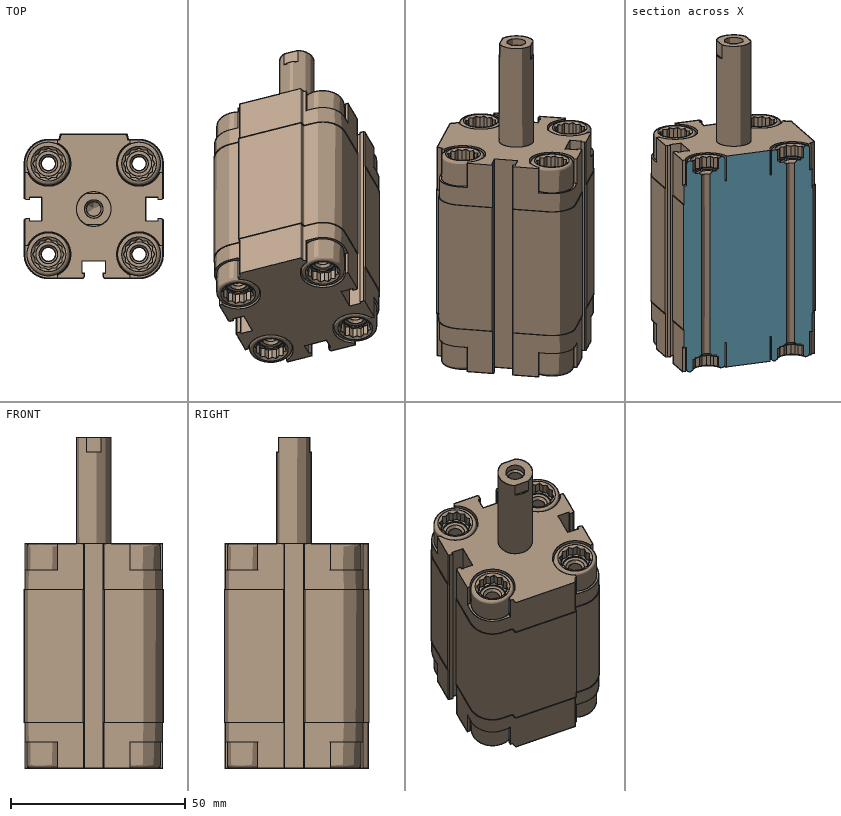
import cadquery as cq
import math

total_height = 95.0
housing_height = 64.5
cap_height = 13.1

barrel_width = 40.0
barrel_depth = 41.5
cap_inset = 0.2
corner_spacing = 26.0
rail_base_width = 19.95
rail_top_width = 19.2
rail_rounding = 0.3

slot_mouth = 5.4
slot_width = 6.7
slot_depth = 5.0
slot_lip = 1.6
mouth_chamfer = 0.4

corner_cut_height = 7.5
corner_cut_start = 10.45
boss_seat_diameter = 12.9
boss_diameter = 12.35
boss_fillet = 0.95

socket_mouth_diameter = 10.0
socket_mouth_depth = 0.6
socket_inner_diameter = 8.1
socket_depth = 3.6
recess_diameter = 7.2
recess_depth = 4.1
screw_cone_diameter = 5.3
screw_cone_depth = 0.8
screw_hole_diameter = 4.0

rod_diameter = 10.0
flat_height = 4.2
flat_distance = 9.0
rod_recess_diameter = 5.3
rod_recess_depth = 2.0
rod_bore_diameter = 4.2
rod_bore_depth = 12.0
drill_point_angle = 118.0

barrel_half_width = barrel_width / 2
rail_reach = barrel_depth - barrel_half_width
corner_axis = corner_spacing / 2
barrel_height = housing_height - 2 * cap_height
rod_length = total_height - housing_height


def at_all_corners(upper_shape):
    """Copies of a shape made for the upper +X +Y corner, one for each of the eight corners."""
    lower_shape = upper_shape.mirror("XY", (0, 0, housing_height / 2))
    for level in (upper_shape, lower_shape):
        for shape in (level, level.mirror("XZ")):
            yield shape
            yield shape.mirror("YZ")


def column(inset, bottom, height):
    """Rounded square column with a raised rail on +Y, set in by `inset` on every side."""
    half = barrel_half_width - inset
    square = (
        cq.Workplane("XY", origin=(0, 0, bottom))
        .rect(2 * half, 2 * half)
        .extrude(height)
        .edges("|Z")
        .fillet(half - corner_axis)
    )
    reach = rail_reach - inset
    base = rail_base_width / 2 - inset
    top = rail_top_width / 2 - inset
    rail = (
        cq.Workplane("XY", origin=(0, 0, bottom))
        .polyline([(-base, 0), (-base, half), (-top, reach), (top, reach), (base, half), (base, 0)])
        .close()
        .extrude(height)
        .edges("|Z and >Y")
        .fillet(rail_rounding)
    )
    rail_feet = cq.selectors.BoxSelector(
        (-base - rail_rounding, half - rail_rounding, bottom),
        (base + rail_rounding, half + rail_rounding, bottom + height),
    )
    return square.union(rail).edges("|Z").edges(rail_feet).fillet(rail_rounding)


def slot_cutter():
    """T-slot along the full housing height, opening on the -Y face."""
    face = -barrel_half_width
    lip_end = face + slot_lip
    floor = face + slot_depth
    mouth = slot_mouth / 2
    chamfer_end = face + cap_inset + mouth_chamfer
    return (
        cq.Workplane("XY")
        .moveTo(-mouth - mouth_chamfer, face)
        .lineTo(-mouth, chamfer_end)
        .lineTo(-mouth, lip_end)
        .lineTo(-slot_width / 2, lip_end)
        .lineTo(-slot_width / 2, floor)
        .lineTo(slot_width / 2, floor)
        .lineTo(slot_width / 2, lip_end)
        .lineTo(mouth, lip_end)
        .lineTo(mouth, chamfer_end)
        .lineTo(mouth + mouth_chamfer, face)
        .close()
        .extrude(housing_height)
    )


def corner_cutter():
    """Square block and round boss seat to remove at the upper +X +Y corner."""
    size = rail_reach - corner_cut_start
    bottom = housing_height - corner_cut_height
    block = cq.Workplane("XY").box(size, size, corner_cut_height, centered=False)
    seat = cq.Workplane("XY").circle(boss_seat_diameter / 2).extrude(corner_cut_height)
    placed_block = block.translate((corner_cut_start, corner_cut_start, bottom))
    placed_seat = seat.translate((corner_axis, corner_axis, bottom))
    return placed_block.union(placed_seat)


def screw_boss():
    """Round boss in an upper corner with a rounded top rim."""
    bottom = housing_height - corner_cut_height
    return (
        cq.Workplane("XY", origin=(corner_axis, corner_axis, bottom))
        .circle(boss_diameter / 2)
        .extrude(corner_cut_height)
        .faces(">Z")
        .edges()
        .fillet(boss_fillet)
    )


def double_hexagon(inner_radius):
    """Twelve-pointed star outline whose points belong to two crossed hexagons."""
    corner_count = 24
    step = 2 * math.pi / corner_count
    outer_radius = inner_radius * math.cos(step) / math.cos(2 * step)
    points = []
    for i in range(corner_count):
        radius = outer_radius if i % 2 == 0 else inner_radius
        angle = i * step
        points.append((radius * math.cos(angle), radius * math.sin(angle)))
    return points


def screw_bore():
    """Turned upper half of a corner hole: conical mouth, recess, lower cone and through hole."""
    mouth_radius = socket_mouth_diameter / 2
    recess_radius = recess_diameter / 2
    socket_radius = socket_inner_diameter / 2
    cone_radius = screw_cone_diameter / 2
    hole_radius = screw_hole_diameter / 2
    socket_floor = housing_height - socket_depth
    recess_floor = housing_height - recess_depth
    return (
        cq.Workplane("XZ")
        .moveTo(0, housing_height / 2)
        .lineTo(hole_radius, housing_height / 2)
        .lineTo(hole_radius, recess_floor - screw_cone_depth)
        .lineTo(cone_radius, recess_floor)
        .lineTo(recess_radius, recess_floor)
        .lineTo(recess_radius, socket_floor)
        .lineTo(socket_radius, socket_floor)
        .lineTo(socket_radius, housing_height - socket_mouth_depth)
        .lineTo(mouth_radius, housing_height)
        .lineTo(0, housing_height)
        .close()
        .revolve(360, (0, 0), (0, 1))
    )


def socket_star():
    """Double-hexagon wrench socket."""
    star = double_hexagon(socket_inner_diameter / 2)
    bottom = housing_height - socket_depth
    return cq.Workplane("XY", origin=(0, 0, bottom)).polyline(star).close().extrude(socket_depth)


def screw_hole_cutter():
    """Complete upper half of a corner hole."""
    return screw_bore().union(socket_star()).translate((corner_axis, corner_axis, 0))


def make_housing():
    """Barrel between two caps, with slots, corner bosses and screw holes."""
    housing = (
        column(0, cap_height, barrel_height)
        .union(column(cap_inset, 0, cap_height))
        .union(column(cap_inset, housing_height - cap_height, cap_height))
    )
    for angle in (0, 90, -90):
        housing = housing.cut(slot_cutter().rotate((0, 0, 0), (0, 0, 1), angle))

    for cutter in at_all_corners(corner_cutter()):
        housing = housing.cut(cutter)
    for boss in at_all_corners(screw_boss()):
        housing = housing.union(boss)
    for cutter in at_all_corners(screw_hole_cutter()):
        housing = housing.cut(cutter)
    return housing


def rod_hole_cutter():
    """Turned shape of the rod hole: recess, conical step, bore and drill point."""
    recess_radius = rod_recess_diameter / 2
    bore_radius = rod_bore_diameter / 2
    recess_floor = total_height - rod_recess_depth
    bore_floor = total_height - rod_bore_depth
    point_depth = bore_radius / math.tan(math.radians(drill_point_angle / 2))
    return (
        cq.Workplane("XZ")
        .moveTo(0, bore_floor - point_depth)
        .lineTo(bore_radius, bore_floor)
        .lineTo(bore_radius, recess_floor - (recess_radius - bore_radius))
        .lineTo(recess_radius, recess_floor)
        .lineTo(recess_radius, total_height)
        .lineTo(0, total_height)
        .close()
        .revolve(360, (0, 0), (0, 1))
    )


def make_rod():
    """Rod standing on the housing, with two wrench flats and a blind hole in its end."""
    rod = cq.Workplane("XY", origin=(0, 0, housing_height)).circle(rod_diameter / 2).extrude(rod_length)
    flats = (
        cq.Workplane("XY", origin=(0, 0, total_height - flat_height))
        .rect(rod_diameter, rod_diameter)
        .rect(rod_diameter, flat_distance)
        .extrude(flat_height)
    )
    return rod.cut(flats).cut(rod_hole_cutter())


housing = make_housing()
rod = make_rod()

result = cq.Compound.makeCompound([housing.val(), rod.val()])